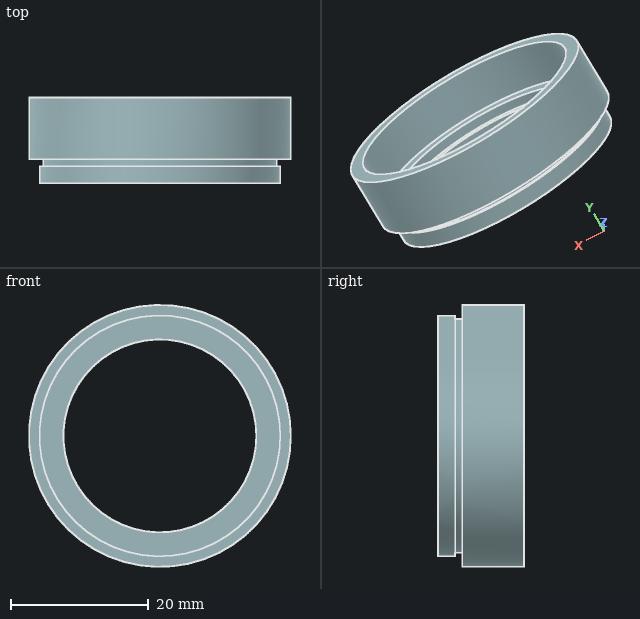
import cadquery as cq

total_length = 12.5

lip_diameter = 35.0
lip_length = 2.5
neck_diameter = 34.0
body_diameter = 38.1
body_length = 9.0
body_start = total_length - body_length

front_bore_diameter = 28.0
front_bore_end = 4.5
middle_bore_diameter = 30.0
middle_bore_end = 6.0
rear_bore_diameter = 34.0


def cylinder(diameter, start, end):
    """Cylinder on the Y axis that runs from Y = start to Y = end."""
    base = cq.Workplane("XZ", origin=(0, start, 0)).circle(diameter / 2)
    return base.extrude(start - end)


def outer_shape():
    """Lip, neck and body joined end to end."""
    lip = cylinder(lip_diameter, 0, lip_length)
    neck = cylinder(neck_diameter, lip_length, body_start)
    body = cylinder(body_diameter, body_start, total_length)
    return lip.union(neck).union(body)


def stepped_bore():
    """Through bore made of three diameters, widest at the rear."""
    front = cylinder(front_bore_diameter, 0, front_bore_end)
    middle = cylinder(middle_bore_diameter, front_bore_end, middle_bore_end)
    rear = cylinder(rear_bore_diameter, middle_bore_end, total_length)
    return front.union(middle).union(rear)


result = outer_shape().cut(stepped_bore())